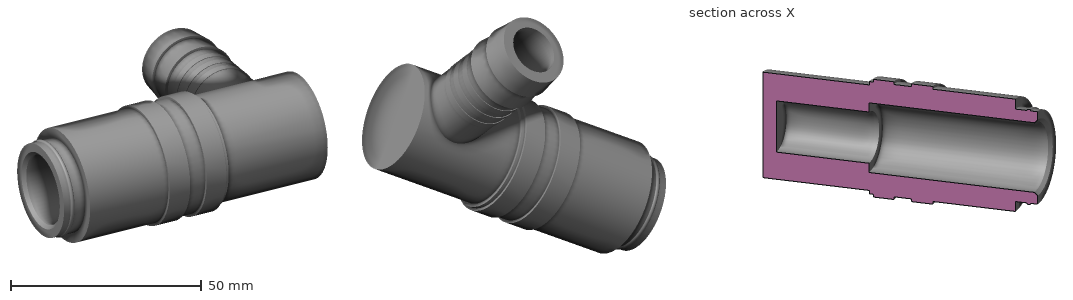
import cadquery as cq


barrel_length = 78.0
head_diameter = 29.2
head_end = 30.2
body_diameter = 31.05
body_end = 71.7
collar_diameter = 32.5
collar_spans = [(31.3, 37.2), (42.1, 48.3)]
spigot_diameter = 25.6
ridge_diameter = 26.4
ridge_width = 1.2
ridge_center = 75.4

socket_diameter = 19.0
socket_chamfer = 0.9
socket_floor = head_end
passage_diameter = 14.0
end_wall = 3.9

overall_width = 64.75
barb_reach = overall_width - collar_diameter / 2
barb_axis_offset = 11.5
tube_diameter = 19.0
barb_diameter = 20.7
barb_pitch = 7.0
barb_count = 2
band_diameter = 19.4
band_width = 2.0
band_starts = [17.0, 21.05, 24.9]
barb_bore_diameter = 13.0


def barrel_cylinder(diameter, start, end):
    """Cylinder on the barrel axis between two distances from the closed end."""
    plane = cq.Workplane("XZ", origin=(0, -start, 0))
    return plane.circle(diameter / 2).extrude(end - start)


def barb_cylinder(diameter, start, end):
    """Cylinder on the barb axis between two distances from the barb tip."""
    plane = cq.Workplane("YZ", origin=(start - barb_reach, -barb_axis_offset, 0))
    return plane.circle(diameter / 2).extrude(end - start)


def barb_tooth(start):
    """Cone that widens away from the tip and ends in a sharp shoulder."""
    plane = cq.Workplane("YZ", origin=(start - barb_reach, -barb_axis_offset, 0))
    return (
        plane.circle(tube_diameter / 2)
        .workplane(offset=barb_pitch)
        .circle(barb_diameter / 2)
        .loft(ruled=True)
    )


def spigot_ridge():
    """Rounded snap ridge around the spigot, revolved about the barrel axis."""
    spigot_radius = spigot_diameter / 2
    half_width = ridge_width / 2
    return (
        cq.Workplane("XY")
        .moveTo(0, -ridge_center - half_width)
        .lineTo(spigot_radius, -ridge_center - half_width)
        .threePointArc(
            (ridge_diameter / 2, -ridge_center),
            (spigot_radius, -ridge_center + half_width),
        )
        .lineTo(0, -ridge_center + half_width)
        .close()
        .revolve(360, (0, 0, 0), (0, 1, 0))
    )


def socket():
    """Socket from the spigot end, widened at its mouth by a 45 degree chamfer."""
    mouth_diameter = socket_diameter + 2 * socket_chamfer
    bore = barrel_cylinder(socket_diameter, socket_floor, barrel_length)
    mouth = (
        cq.Workplane("XZ", origin=(0, socket_chamfer - barrel_length, 0))
        .circle(socket_diameter / 2)
        .workplane(offset=socket_chamfer)
        .circle(mouth_diameter / 2)
        .loft(ruled=True)
    )
    return bore.union(mouth)


part = barrel_cylinder(head_diameter, 0, head_end)
part = part.union(barrel_cylinder(body_diameter, head_end, body_end))
part = part.union(barrel_cylinder(spigot_diameter, body_end, barrel_length))
part = part.union(spigot_ridge())
for collar_start, collar_end in collar_spans:
    part = part.union(barrel_cylinder(collar_diameter, collar_start, collar_end))

part = part.union(barb_cylinder(tube_diameter, 0, barb_reach))
for tooth in range(barb_count):
    part = part.union(barb_tooth(tooth * barb_pitch))
for band_start in band_starts:
    part = part.union(barb_cylinder(band_diameter, band_start, band_start + band_width))

part = part.cut(socket())
part = part.cut(barrel_cylinder(passage_diameter, end_wall, barrel_length))
part = part.cut(barb_cylinder(barb_bore_diameter, 0, barb_reach))

result = part